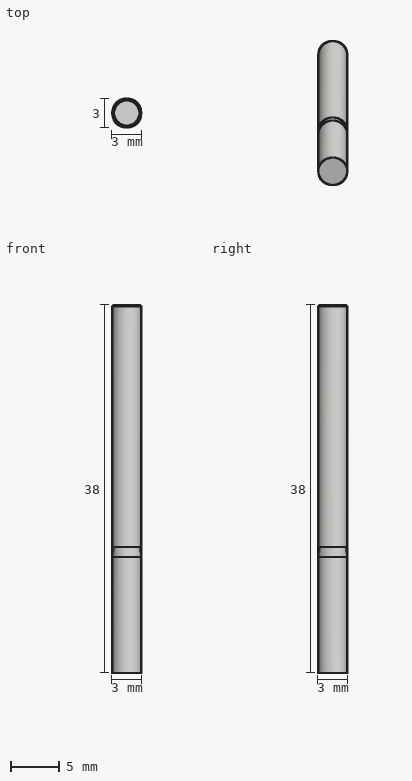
import cadquery as cq

rod_length = 38.0
rod_diameter = 3.0
top_chamfer = 0.2

band_bottom = 12.0
band_width = 1.0
band_thickness = 0.2

rod_radius = rod_diameter / 2


def make_band():
    """Flat ring whose outer face is flush with the rod."""
    return (
        cq.Workplane("XY")
        .workplane(offset=band_bottom)
        .circle(rod_radius)
        .circle(rod_radius - band_thickness)
        .extrude(band_width)
    )


def make_rod(band):
    """Cylinder with a chamfered top and a groove that matches the band."""
    return (
        cq.Workplane("XY")
        .circle(rod_radius)
        .extrude(rod_length)
        .faces(">Z")
        .chamfer(top_chamfer)
        .cut(band)
    )


band = make_band()
rod = make_rod(band)

result = cq.Compound.makeCompound([rod.val(), band.val()])